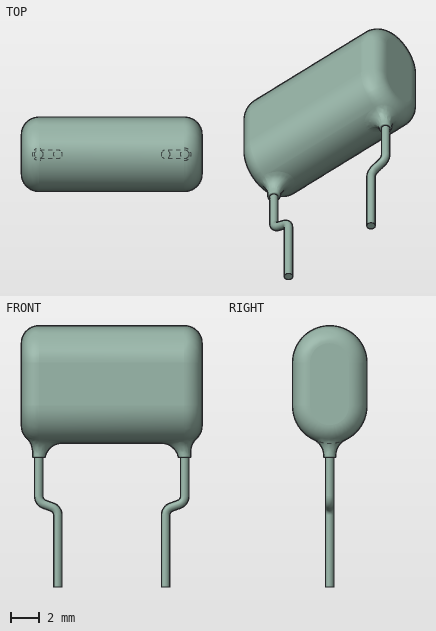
import cadquery as cq
import math

body_length = 12.6
body_thickness = 5.2
body_height = 8.2
end_round = 1.25

lead_diameter = 0.6
lead_pitch = 7.5
lead_tip_z = 0.0
standoff = 10.0
foot_length = 5.0
exit_x = 5.08
bend_radius = 0.6
bend_angle = math.radians(70)

collar_diameter = 0.86
collar_length = 1.0
flare_radius = 1.2
rim_round = 0.1

body_bottom_z = lead_tip_z + standoff
body_centre_z = body_bottom_z + body_height / 2
collar_bottom_z = body_bottom_z - collar_length


def make_body():
    """Rounded slab with a flared collar around each lead exit."""
    slab = (
        cq.Workplane("YZ", origin=(-body_length / 2, 0, body_centre_z))
        .slot2D(body_height, body_thickness, 90)
        .extrude(body_length)
        .faces("<X or >X")
        .edges()
        .fillet(end_round)
    )
    stub_bottom_z = collar_bottom_z - flare_radius
    stubs = (
        cq.Workplane("XY", origin=(0, 0, stub_bottom_z))
        .pushPoints([(-exit_x, 0), (exit_x, 0)])
        .circle(collar_diameter / 2)
        .extrude(body_centre_z - stub_bottom_z)
    )
    flared = slab.union(stubs).edges("%BSPLINE").fillet(flare_radius)

    stub_ends = (
        cq.Workplane("XY", origin=(0, 0, stub_bottom_z))
        .rect(body_length, body_thickness)
        .extrude(collar_bottom_z - stub_bottom_z)
    )
    return flared.cut(stub_ends).faces("<Z").edges().fillet(rim_round)


def make_lead(side):
    """Cranked round wire on the given side: -1 for -X, +1 for +X."""
    foot_x = lead_pitch / 2
    jog = exit_x - foot_x
    bend_run = bend_radius * (1 - math.cos(bend_angle))
    bend_rise = bend_radius * math.sin(bend_angle)
    slant_rise = (jog - 2 * bend_run) / math.tan(bend_angle)

    half_angle = bend_angle / 2
    mid_run = bend_radius * (1 - math.cos(half_angle))
    mid_rise = bend_radius * math.sin(half_angle)

    lower_bend_z = lead_tip_z + foot_length
    upper_bend_z = lower_bend_z + 2 * bend_rise + slant_rise

    path = (
        cq.Workplane("XZ")
        .moveTo(side * foot_x, lead_tip_z)
        .lineTo(side * foot_x, lower_bend_z)
        .threePointArc(
            (side * (foot_x + mid_run), lower_bend_z + mid_rise),
            (side * (foot_x + bend_run), lower_bend_z + bend_rise),
        )
        .lineTo(side * (exit_x - bend_run), upper_bend_z - bend_rise)
        .threePointArc(
            (side * (exit_x - mid_run), upper_bend_z - mid_rise),
            (side * exit_x, upper_bend_z),
        )
        .lineTo(side * exit_x, collar_bottom_z)
    )
    tip = cq.Workplane("XY", origin=(side * foot_x, 0, lead_tip_z))
    return tip.circle(lead_diameter / 2).sweep(path)


body = make_body()
leads = [make_lead(side) for side in (-1, 1)]

result = cq.Compound.makeCompound([body.val(), *[lead.val() for lead in leads]])